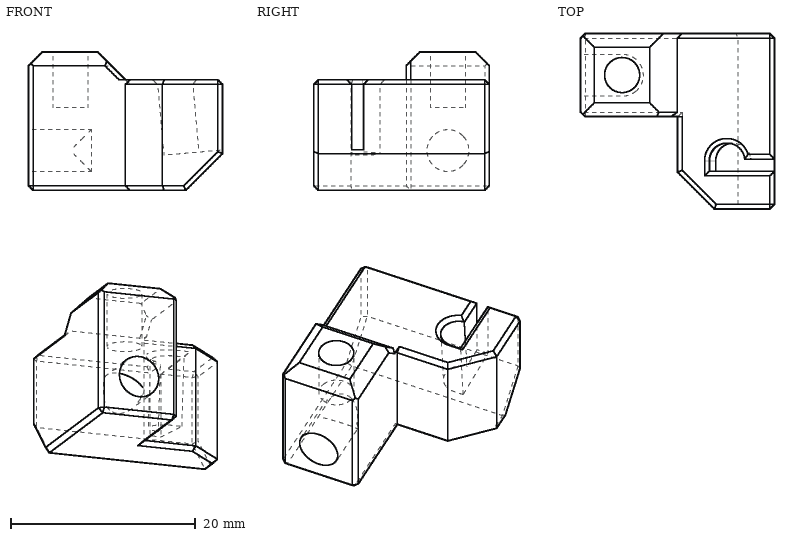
import cadquery as cq
import math

LENGTH = 21.0
DEPTH = 19.0
TOWER_HEIGHT = 15.0
ARM_HEIGHT = 12.0
TOWER_DEPTH = 9.0
ARM_LEFT = 10.5
CORNER_CUT = 4.0
EDGE_CHAMFER = 0.5
TOWER_CHAMFER = 1.5
TOWER_TOP_RIGHT = ARM_LEFT - (TOWER_HEIGHT - ARM_HEIGHT)

HOLE_DIAMETER = 3.8
HOLE_X = TOWER_DEPTH / 2
HOLE_Y = -TOWER_DEPTH / 2
TOP_HOLE_DEPTH = 6.0
SIDE_RECESS_DIAMETER = 4.54
SIDE_RECESS_Z = 4.35

POCKET_X = 15.83
POCKET_Y = -13.78
POCKET_FRONT = -14.9
POCKET_DEPTH = 8.0
POCKET_LEAN = 5.0
SLOT_BACK = -13.6

TOLERANCE = 0.002


def make_tower():
    """Tall tower whose right side slopes down into the top of the arm."""
    slope_end = ARM_LEFT + EDGE_CHAMFER
    tower = (
        cq.Workplane("XZ")
        .polyline([
            (0, 0),
            (slope_end, 0),
            (slope_end, ARM_HEIGHT - EDGE_CHAMFER),
            (TOWER_TOP_RIGHT, TOWER_HEIGHT),
            (0, TOWER_HEIGHT),
        ])
        .close()
        .extrude(TOWER_DEPTH)
    )
    top_edges = tower.faces(">Z").edges().vals()
    sides = [edge for edge in top_edges if edge.Center().x < TOWER_TOP_RIGHT - TOLERANCE]
    tower = tower.newObject(sides).chamfer(TOWER_CHAMFER)

    bottom = [edge for edge in tower.faces("<Z").edges().vals() if edge.Center().x < slope_end - TOLERANCE]
    left = tower.faces("<X").edges("|Z").vals()
    shoulder = [
        edge for edge in tower.faces("<Y").edges().vals()
        if edge.BoundingBox().zlen > TOLERANCE and edge.BoundingBox().xlen > TOLERANCE
    ]
    return tower.newObject(bottom + left + shoulder).chamfer(EDGE_CHAMFER)


def make_arm():
    """Low arm with a stub on its left that runs into the tower."""
    arm = (
        cq.Workplane("XY")
        .polyline([
            (TOWER_TOP_RIGHT, 0),
            (LENGTH, 0),
            (LENGTH, -DEPTH),
            (ARM_LEFT + CORNER_CUT, -DEPTH),
            (ARM_LEFT, CORNER_CUT - DEPTH),
            (ARM_LEFT, -TOWER_DEPTH),
            (TOWER_TOP_RIGHT, -TOWER_DEPTH),
        ])
        .close()
        .extrude(ARM_HEIGHT)
    )
    arm = arm.faces(">X").edges("<Z").chamfer(CORNER_CUT)

    def is_chamfered(edge):
        """True for outer edges away from the tower and off the crests of the corner cuts."""
        box = edge.BoundingBox()
        if box.xmax < TOWER_TOP_RIGHT + TOLERANCE:
            return False
        stub_front = box.ymin > -TOWER_DEPTH - TOLERANCE and box.ymax < -TOWER_DEPTH + TOLERANCE
        if stub_front and box.zmin > TOLERANCE:
            return False
        flat = box.zlen < TOLERANCE
        right_wall = box.xmin > LENGTH - TOLERANCE
        if flat:
            across_slope = box.xmin > LENGTH - CORNER_CUT - TOLERANCE and box.zmax < ARM_HEIGHT - TOLERANCE
            return not across_slope
        sloped = box.xlen > TOLERANCE
        return right_wall or sloped

    chosen = [edge for edge in arm.edges().vals() if is_chamfered(edge)]
    return arm.newObject(chosen).chamfer(EDGE_CHAMFER)


def pocket_outline(margin):
    """Pocket outline, grown outwards by the margin."""
    radius = HOLE_DIAMETER / 2 + margin
    front = POCKET_FRONT - POCKET_Y - margin
    back = SLOT_BACK - POCKET_Y + margin
    slot_start = math.sqrt(radius**2 - back**2)
    middle = math.sqrt(0.5) * radius
    return cq.Wire.assembleEdges([
        cq.Edge.makeLine(cq.Vector(-radius, front), cq.Vector(-radius, 0)),
        cq.Edge.makeThreePointArc(
            cq.Vector(-radius, 0), cq.Vector(-middle, middle), cq.Vector(slot_start, back)),
        cq.Edge.makeLine(cq.Vector(slot_start, back), cq.Vector(LENGTH, back)),
        cq.Edge.makeLine(cq.Vector(LENGTH, back), cq.Vector(LENGTH, front)),
        cq.Edge.makeLine(cq.Vector(LENGTH, front), cq.Vector(-radius, front)),
    ])


def cut_pocket(body):
    """Cut the leaning pocket, then the chamfer around its mouth."""
    mouth = (POCKET_X, POCKET_Y, ARM_HEIGHT)
    shaft = cq.Workplane(cq.Solid.extrudeLinear(pocket_outline(0), [], cq.Vector(0, 0, -POCKET_DEPTH)))
    shaft = shaft.rotate((0, 0, 0), (0, 1, 0), -POCKET_LEAN)
    lip_outer = pocket_outline(EDGE_CHAMFER)
    lip_inner = pocket_outline(0).translate(cq.Vector(0, 0, -EDGE_CHAMFER))
    lip = cq.Workplane(cq.Solid.makeLoft([lip_inner, lip_outer], True))
    return body.cut(shaft.translate(mouth), clean=False).cut(lip.translate(mouth), clean=False)


def cut_tower_holes(body):
    """Cut the blind top hole and the round side recess, whose end is an upright cylinder wall."""
    top_hole = (
        cq.Workplane("XY", origin=(HOLE_X, HOLE_Y, TOWER_HEIGHT))
        .circle(HOLE_DIAMETER / 2)
        .extrude(-TOP_HOLE_DEPTH)
    )
    side_bore = (
        cq.Workplane("YZ", origin=(0, HOLE_Y, SIDE_RECESS_Z))
        .circle(SIDE_RECESS_DIAMETER / 2)
        .extrude(HOLE_X + SIDE_RECESS_DIAMETER)
    )
    upright_end = (
        cq.Workplane("XY", origin=(HOLE_X, HOLE_Y, 0))
        .circle(SIDE_RECESS_DIAMETER / 2)
        .extrude(TOWER_HEIGHT)
    )
    bore_approach = cq.Workplane("XY").box(HOLE_X, TOWER_DEPTH, TOWER_HEIGHT, centered=False)
    bore_approach = bore_approach.translate((0, -TOWER_DEPTH, 0))
    side_recess = side_bore.intersect(bore_approach.union(upright_end))
    return body.cut(top_hole).cut(side_recess)


body = make_tower().union(make_arm()).clean()
body = cut_tower_holes(body)
result = cut_pocket(body)